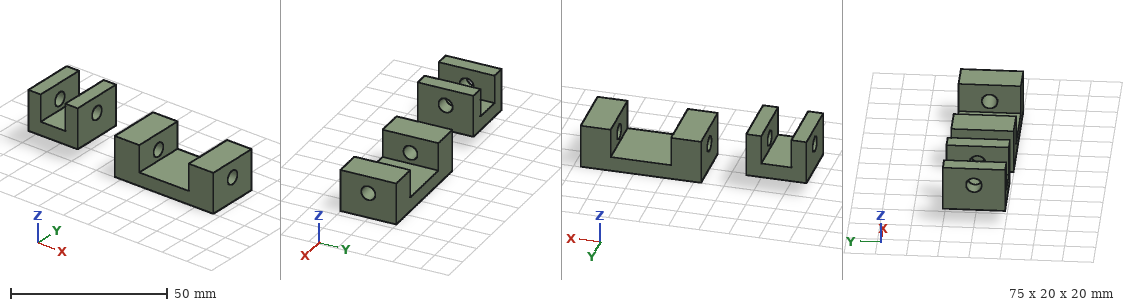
import cadquery as cq

overall_length = 75.0
narrow_length = 20.0
gap = 15.0
depth = 20.0
height = 15.0
floor_thickness = 5.0
narrow_wall = 5.0
wide_wall = 10.0
narrow_lift = 5.0
hole_diameter = 5.0
hole_height = 9.0

wide_start = narrow_length + gap
wide_length = overall_length - wide_start


def u_bracket(length, wall):
    """U-shaped block open at the top, with its lower left front corner at the origin."""
    block = cq.Workplane("XY").box(length, depth, height, centered=False)
    slot = (
        cq.Workplane("XY")
        .box(length - 2 * wall, depth, height - floor_thickness, centered=False)
        .translate((wall, 0, floor_thickness))
    )
    cross_hole = (
        cq.Workplane("YZ")
        .center(depth / 2, hole_height)
        .circle(hole_diameter / 2)
        .extrude(length)
    )
    return block.cut(slot).cut(cross_hole).solids()


narrow_bracket = u_bracket(narrow_length, narrow_wall).translate((0, 0, narrow_lift))
wide_bracket = u_bracket(wide_length, wide_wall).translate((wide_start, 0, 0))

result = cq.Compound.makeCompound([narrow_bracket.val(), wide_bracket.val()])